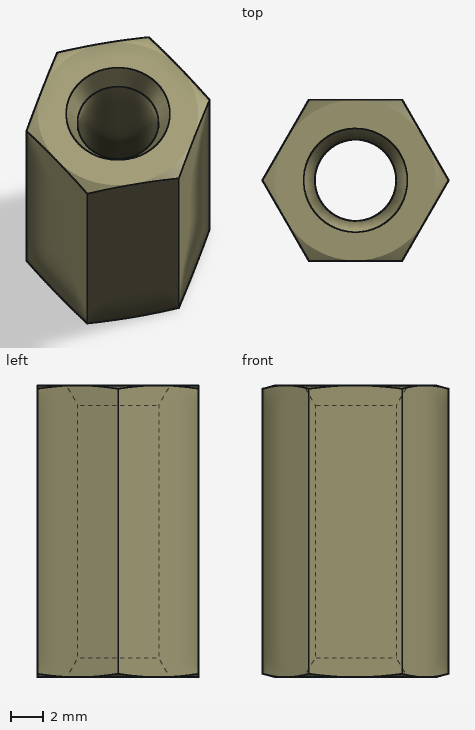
import cadquery as cq
import math

side_count = 6
across_corners = 11.5
length = 18.0

bore_diameter = 5.0
mouth_diameter = 6.4
mouth_half_angle = 30.0
mouth_depth = (mouth_diameter - bore_diameter) / 2 / math.tan(math.radians(mouth_half_angle))

end_face_diameter = 9.9
corner_chamfer_angle = 15.0
corner_drop = (across_corners - end_face_diameter) / 2 * math.tan(math.radians(corner_chamfer_angle))


def cylinder_with_conical_ends(middle_diameter, end_diameter, cone_height):
    """Full-length turned solid whose diameter changes linearly over cone_height at each end."""
    middle_radius = middle_diameter / 2
    end_radius = end_diameter / 2
    half_profile = [
        (0, 0),
        (end_radius, 0),
        (middle_radius, cone_height),
        (middle_radius, length - cone_height),
        (end_radius, length),
        (0, length),
    ]
    return cq.Workplane("XZ").polyline(half_profile).close().revolve(360, (0, 0), (0, 1))


hexagon_bar = cq.Workplane("XY").polygon(side_count, across_corners).extrude(length)
chamfer_envelope = cylinder_with_conical_ends(across_corners, end_face_diameter, corner_drop)
countersunk_bore = cylinder_with_conical_ends(bore_diameter, mouth_diameter, mouth_depth)

result = hexagon_bar.intersect(chamfer_envelope).cut(countersunk_bore)